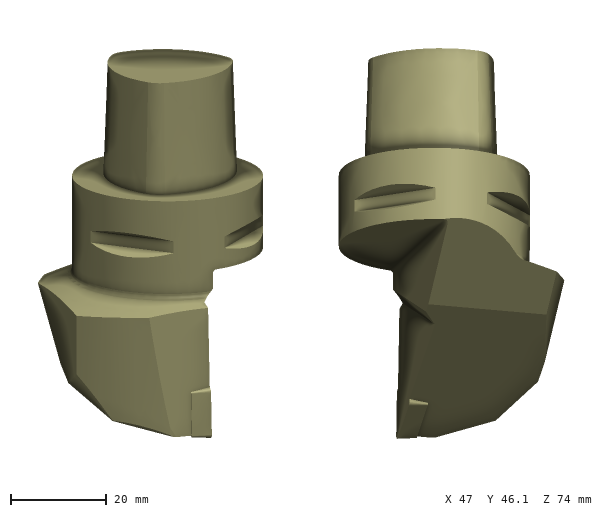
import cadquery as cq
import math


overall_height = 74.0
block_size = 222.0

taper_height = 24.0
taper_angle = 2.1
lobe_reach = 15.1
flank_reach = 13.1
lobe_radius = 5.3

flange_radius = 20.0
flange_height = 15.55

slot_floor = 17.55
slot_center_z = -10.0
slot_floor_width = 2.5
slot_mouth_width = 5.2

shank_back_y = 2.9
shank_front_y = -26.05
shank_left_x = -22.2
shank_bottom_z = -51.8
neck_height = 20.1
neck_fillet = 1.1
shoulder_slope = math.tan(math.radians(15))
shoulder_radius = 44.4
nose_start_x = 15.9
nose_middle = (22.2, -18.2)
nose_end = (26.2, -9.0)
nose_back_x = 27.1
back_fillet = 0.75

steep_start = 15.1
underside_corner_x = -5.2
underside_slope = 0.61
underside_corner = (underside_corner_x, 0, -steep_start - flange_radius - underside_corner_x)
underside_normal = (-underside_slope, 0, -1)
steep_point = (-flange_radius, 0, -steep_start)
steep_normal = (-1, 0, -1)
edge_chamfer = 3.1
edge_chamfer_point = (
    -flange_radius,
    shank_front_y + edge_chamfer,
    -steep_start,
)
edge_chamfer_normal = (-math.sqrt(0.5), -1, -math.sqrt(0.5))
corner_point = (nose_start_x, shank_front_y, -36.5)
corner_normal = (0.31, -1, -0.49)
relief_point = (20.9, -20.0, -45.9)
relief_normal = (0.8, -0.6, -0.86)
end_point = (24.7, 0, -22.2)
end_normal = (1, 0, 0.06)

step_point = (-0.4, 0, -32.7)
step_normal = (0.44, 1, -0.9)

insert_thickness = 4.2
insert_relief = 7.0
insert_tip_x = 27.1
insert_side = 11.1
insert_side_angle = 93.0
insert_included_angle = 55.0
insert_corner_radius = 0.8


def half_space(point, normal):
    """Large block filling the side of a plane that its normal points to."""
    plane = cq.Plane(origin=point, normal=normal)
    return cq.Workplane(plane).rect(block_size, block_size).extrude(block_size)


def polar(radius, degrees):
    angle = math.radians(degrees)
    return (radius * math.cos(angle), radius * math.sin(angle))


def make_taper():
    """Three tangent flank arcs and three lobe arcs, drawn in towards the top."""
    reach_gap = lobe_reach - flank_reach
    lobe_center = lobe_reach - lobe_radius
    flank_center = (2 * reach_gap * lobe_center - reach_gap**2) / (lobe_center - 2 * reach_gap)
    sin_60 = math.sin(math.radians(60))
    spread = math.degrees(math.atan2(flank_center * sin_60, lobe_center + flank_center / 2))
    across = lobe_radius * math.sin(math.radians(spread))
    along = lobe_center + lobe_radius * math.cos(math.radians(spread))
    join_radius = math.hypot(along, across)
    join_angle = math.degrees(math.atan2(across, along))

    outline = cq.Workplane("XY").moveTo(*polar(join_radius, 90 - join_angle))
    for lobe_angle in (90, 210, 330):
        outline = outline.threePointArc(
            polar(lobe_reach, lobe_angle),
            polar(join_radius, lobe_angle + join_angle),
        )
        outline = outline.threePointArc(
            polar(flank_reach, lobe_angle + 60),
            polar(join_radius, lobe_angle + 120 - join_angle),
        )
    return outline.close().extrude(taper_height, taper=taper_angle)


def make_slot(angle):
    """Flat-floored gripper slot with flared upper and lower walls."""
    floor = slot_floor_width / 2
    mouth = slot_mouth_width / 2
    return (
        cq.Workplane("XZ")
        .polyline([
            (slot_floor, slot_center_z - floor),
            (flange_radius, slot_center_z - mouth),
            (flange_radius, slot_center_z + mouth),
            (slot_floor, slot_center_z + floor),
        ])
        .close()
        .extrude(flange_radius, both=True)
        .rotate((0, 0, 0), (0, 0, 1), angle)
    )


def make_shank_envelope():
    """Round neck that spreads through a fillet into a conical shoulder."""
    shoulder_start = flange_radius + neck_fillet
    shoulder_z = -neck_height - neck_fillet
    shoulder_end_z = shoulder_z - shoulder_slope * (shoulder_radius - shoulder_start)
    fillet_offset = neck_fillet * (1 - math.sqrt(0.5))
    return (
        cq.Workplane("XZ")
        .moveTo(0, shank_bottom_z)
        .lineTo(0, -flange_height)
        .lineTo(flange_radius, -flange_height)
        .lineTo(flange_radius, -neck_height)
        .threePointArc(
            (flange_radius + fillet_offset, shoulder_z + fillet_offset),
            (shoulder_start, shoulder_z),
        )
        .lineTo(shoulder_radius, shoulder_end_z)
        .lineTo(shoulder_radius, shank_bottom_z)
        .close()
        .revolve(360, (0, 0, 0), (0, 1, 0))
    )


def make_back_fillet():
    """Concave fillet between the shank's back face and the flange's underside."""
    arc_offset = back_fillet * (1 - math.sqrt(0.5))
    return (
        cq.Workplane("YZ")
        .moveTo(shank_back_y, -flange_height)
        .lineTo(shank_back_y, -flange_height - back_fillet)
        .threePointArc(
            (shank_back_y + arc_offset, -flange_height - arc_offset),
            (shank_back_y + back_fillet, -flange_height),
        )
        .close()
        .extrude(flange_radius, both=True)
    )


def make_shank():
    """Offset shank: plan outline under the conical shoulder, trimmed by flat cuts."""
    outline = (
        cq.Workplane("XY")
        .workplane(offset=shank_bottom_z)
        .moveTo(shank_left_x, shank_back_y)
        .lineTo(shank_left_x, shank_front_y)
        .lineTo(nose_start_x, shank_front_y)
        .threePointArc(nose_middle, nose_end)
        .lineTo(nose_back_x, 0)
        .lineTo(nose_back_x, shank_back_y)
        .close()
        .extrude(-shank_bottom_z)
    )
    shank = outline.union(make_back_fillet()).intersect(make_shank_envelope())
    flat_cuts = [
        (underside_corner, underside_normal),
        (edge_chamfer_point, edge_chamfer_normal),
        (corner_point, corner_normal),
        (relief_point, relief_normal),
        (end_point, end_normal),
    ]
    for point, normal in flat_cuts:
        shank = shank.cut(half_space(point, normal))
    step = half_space((0, 0, 0), (0, 1, 0)).intersect(half_space(step_point, step_normal))
    return shank.cut(step)


def make_insert():
    """Rhombic insert with rounded corners and flanks that lean in below the rake face."""
    side_a = polar(insert_side, insert_side_angle)
    side_b = polar(insert_side, insert_side_angle + insert_included_angle)
    half_angle = insert_included_angle / 2
    center_distance = insert_corner_radius / math.sin(math.radians(half_angle))
    center_rise = polar(center_distance, insert_side_angle + half_angle)[1]
    tip_x = insert_tip_x
    tip_z = taper_height - overall_height + insert_corner_radius - center_rise
    sharp_corners = [
        (tip_x, tip_z),
        (tip_x + side_a[0], tip_z + side_a[1]),
        (tip_x + side_a[0] + side_b[0], tip_z + side_a[1] + side_b[1]),
        (tip_x + side_b[0], tip_z + side_b[1]),
        (tip_x, tip_z),
    ]
    rhombus = cq.Sketch().polygon(sharp_corners).vertices().fillet(insert_corner_radius)
    return cq.Workplane("XZ").placeSketch(rhombus).extrude(insert_thickness, taper=insert_relief)


def make_holder(insert):
    flange = cq.Workplane("XY").circle(flange_radius).extrude(-flange_height)
    for slot_angle in (45, 135, 225, 315):
        flange = flange.cut(make_slot(slot_angle))
    holder = flange.union(make_shank()).cut(half_space(steep_point, steep_normal))
    return holder.union(make_taper()).cut(insert)


insert = make_insert()
holder = make_holder(insert)

result = cq.Compound.makeCompound([holder.val(), insert.val()])